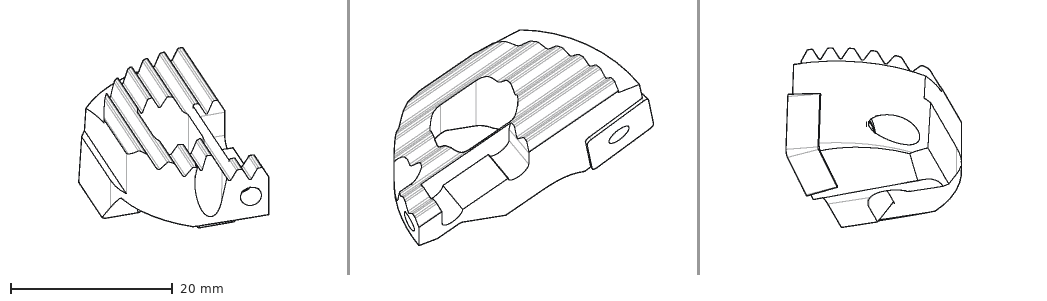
import cadquery as cq
import math


DISC_RADIUS = 15.45
RIM_DEPTH = 2.0
FLARE_RADIUS = 18.7
FLARE_DEPTH = 3.85
SIDE_ANGLE = 5.6
BLEND_DEPTH = 16.35
BLEND_RADIUS = 0.9
BLANK_DEPTH = 19.8

STEP_Y = -14.85
STEP_DEPTH = 7.35
LEDGE_DEPTH = 7.7

HEEL_DEPTH = 15.48
HEEL_LEFT = -3.9
HEEL_RIGHT = 2.0
TAIL_DEPTH = 8.55
TAIL_RIGHT = 12.6
TAIL_ANGLE = 30.0
TAIL_BLEND = 1.08
THROAT_RADIUS = 7.92
THROAT_ANGLE = 45.0
RELIEF_POINT = (-10.2, 0, -18.45)
RELIEF_ANGLE_X = 5.7
RELIEF_ANGLE_Y = 5.9
BEVEL_DEPTH = 14.9

TOOTH_COUNT = 6
TOOTH_SPAN = 14.98
TOOTH_PITCH = TOOTH_SPAN / TOOTH_COUNT
TOOTH_HEIGHT = 1.55
TOOTH_FLANK_ANGLE = 28.0
TIP_ROUND = 0.25
ROOT_ROUND = 0.18
FIRST_VALLEY_Y = 0.1

SLOT_X = 0.97
SLOT_Y = -7.92
SLOT_RADIUS = 3.25
SLOT_LENGTH = 11.95

NOTCH_LEFT = -1.55
NOTCH_RIGHT = 11.85
NOTCH_LENGTH = 4.05
NOTCH_DEPTH = 5.05
NOTCH_GROOVE_RADIUS = 1.6
NOTCH_FLARE = 0.3
NOTCH_FLARE_DEPTH = 1.73

CHANNEL_RADIUS = 1.73
CHANNEL_POINT = (13.95, -7.38, -3.6)
CHANNEL_HEADING = -22.0
CHANNEL_PITCH = 64.0

CROSS_HOLE_RADIUS = 1.3
CROSS_HOLE_Y = -2.25
CROSS_HOLE_Z = -3.95

INSERT_SIDE = 9.55
INSERT_THICKNESS = 4.0
INSERT_PROUD = 0.45
INSERT_RELIEF = 7.0
INSERT_TILT = 5.5
INSERT_NOSE = 0.72
INSERT_X = -15.4
INSERT_Z = -13.55

SCREW_X = -15.2
SCREW_Z = -13.4
SCREW_RADIUS = 1.55
SCREW_TIP_Y = -9.0
SCREW_TIP_CHAMFER = 0.15
ACCESS_RADIUS = 2.1

CLEAR = 36.0


def box(x0, x1, y0, y1, z0, z1):
    return cq.Workplane("XY").box(x1 - x0, y1 - y0, z1 - z0, centered=False).translate((x0, y0, z0))


def disc_half():
    disc = cq.Workplane("XY").circle(DISC_RADIUS).extrude(-BLANK_DEPTH)
    return disc.intersect(box(0, CLEAR, -CLEAR, 0, -CLEAR, CLEAR))


def flared_half():
    lean = math.radians(SIDE_ANGLE)
    blend_start = FLARE_RADIUS + (BLEND_DEPTH - FLARE_DEPTH) * math.tan(lean)
    arc_x = blend_start - BLEND_RADIUS * math.cos(lean)
    arc_z = -BLEND_DEPTH - BLEND_RADIUS * math.sin(lean)
    diagonal = BLEND_RADIUS * math.sqrt(0.5)
    flare = (
        cq.Workplane("XZ")
        .moveTo(0, 0)
        .lineTo(DISC_RADIUS, 0)
        .lineTo(DISC_RADIUS, -RIM_DEPTH)
        .lineTo(FLARE_RADIUS, -FLARE_DEPTH)
        .lineTo(blend_start, -BLEND_DEPTH)
        .threePointArc((arc_x + diagonal, arc_z - diagonal), (arc_x, arc_z - BLEND_RADIUS))
        .lineTo(arc_x, -BLANK_DEPTH)
        .lineTo(0, -BLANK_DEPTH)
        .close()
        .revolve(360, (0, 0, 0), (0, 1, 0))
    )
    return flare.intersect(box(-CLEAR, 0, -DISC_RADIUS, 0, -CLEAR, CLEAR))


def front_step():
    return (
        cq.Workplane("YZ", origin=(-CLEAR, 0, 0))
        .polyline([
            (STEP_Y, CLEAR),
            (STEP_Y, -STEP_DEPTH),
            (-DISC_RADIUS, -LEDGE_DEPTH),
            (-CLEAR, -LEDGE_DEPTH),
            (-CLEAR, CLEAR),
        ])
        .close()
        .extrude(2 * CLEAR)
    )


def underside():
    """Everything below the side profile of the housing, cut through along Y."""
    turn = math.radians(THROAT_ANGLE)
    throat_end = (
        HEEL_LEFT - THROAT_RADIUS * math.sin(turn),
        -HEEL_DEPTH - THROAT_RADIUS * (1 - math.cos(turn)),
    )
    throat_middle = (
        HEEL_LEFT - THROAT_RADIUS * math.sin(turn / 2),
        -HEEL_DEPTH - THROAT_RADIUS * (1 - math.cos(turn / 2)),
    )
    drop = CLEAR + throat_end[1]
    tail_rise = (CLEAR - TAIL_RIGHT) * math.tan(math.radians(TAIL_ANGLE))
    tail_left = HEEL_RIGHT + HEEL_DEPTH - TAIL_DEPTH
    cutter = (
        cq.Workplane("XZ", origin=(0, CLEAR, 0))
        .moveTo(throat_end[0] - drop / math.tan(turn), -CLEAR)
        .lineTo(*throat_end)
        .threePointArc(throat_middle, (HEEL_LEFT, -HEEL_DEPTH))
        .lineTo(HEEL_RIGHT, -HEEL_DEPTH)
        .lineTo(tail_left, -TAIL_DEPTH)
        .lineTo(TAIL_RIGHT, -TAIL_DEPTH)
        .lineTo(CLEAR, -TAIL_DEPTH + tail_rise)
        .lineTo(CLEAR, -CLEAR)
        .close()
        .extrude(2 * CLEAR)
    )
    corner = cq.selectors.NearestToPointSelector((tail_left, 0, -TAIL_DEPTH))
    return cutter.edges("|Y").edges(corner).fillet(TAIL_BLEND)


def head_room():
    """Sloped clearance under the slot, open to the front, with the slot wall as its back."""
    slope_top = HEEL_LEFT + HEEL_DEPTH - TAIL_DEPTH
    drop = CLEAR - HEEL_DEPTH
    wedge = (
        cq.Workplane("XZ", origin=(0, CLEAR, 0))
        .polyline([
            (HEEL_LEFT - drop, -CLEAR),
            (slope_top, -TAIL_DEPTH),
            (CLEAR, -TAIL_DEPTH),
            (CLEAR, -CLEAR),
        ])
        .close()
        .extrude(2 * CLEAR)
    )
    corner = cq.selectors.NearestToPointSelector((slope_top, 0, -TAIL_DEPTH))
    wedge = wedge.edges("|Y").edges(corner).fillet(TAIL_BLEND)
    arc_x = SLOT_X - SLOT_LENGTH / 2 + SLOT_RADIUS
    back_y = SLOT_Y + SLOT_RADIUS
    diagonal = SLOT_RADIUS * math.sqrt(0.5)
    plan = (
        cq.Workplane("XY", origin=(0, 0, -CLEAR))
        .moveTo(CLEAR, back_y)
        .lineTo(arc_x, back_y)
        .threePointArc((arc_x - diagonal, SLOT_Y + diagonal), (arc_x - SLOT_RADIUS, SLOT_Y))
        .lineTo(arc_x - SLOT_RADIUS, -CLEAR)
        .lineTo(CLEAR, -CLEAR)
        .close()
        .extrude(CLEAR)
    )
    return wedge.intersect(plan)


def relief_face():
    """Everything below the tilted plane under the insert seat."""
    fall_x = math.tan(math.radians(RELIEF_ANGLE_X))
    fall_y = math.tan(math.radians(RELIEF_ANGLE_Y))
    plane = cq.Plane(RELIEF_POINT, xDir=(1, 0, -fall_x), normal=(-fall_x, -fall_y, -1))
    return cq.Workplane(plane).rect(2 * CLEAR, 2 * CLEAR).extrude(CLEAR)


def front_bevel():
    return (
        cq.Workplane("YZ", origin=(-CLEAR, 0, 0))
        .polyline([
            (-DISC_RADIUS - CLEAR, -BEVEL_DEPTH + CLEAR),
            (-DISC_RADIUS + CLEAR, -BEVEL_DEPTH - CLEAR),
            (-DISC_RADIUS - CLEAR, -BEVEL_DEPTH - CLEAR),
        ])
        .close()
        .extrude(2 * CLEAR)
    )


def tooth_valley(y):
    """Groove along X with a rounded root, flaring into the rounded tips of the teeth."""
    flank = math.radians(TOOTH_FLANK_ANGLE)
    rise = math.sin(flank)
    run = math.cos(flank)
    root_z = -TOOTH_HEIGHT + ROOT_ROUND * (1 - rise)
    root_y = ROOT_ROUND * run
    tip_z = -TIP_ROUND * (1 - rise)
    tip_y = root_y + (tip_z - root_z) * math.tan(flank)
    tip_centre_y = tip_y + TIP_ROUND * run
    half_turn = (math.pi / 2 - flank) / 2
    tip_middle_y = tip_centre_y - TIP_ROUND * math.sin(half_turn)
    tip_middle_z = -TIP_ROUND * (1 - math.cos(half_turn))
    return (
        cq.Workplane("YZ", origin=(-CLEAR, y, 0))
        .moveTo(-tip_centre_y, 0)
        .threePointArc((-tip_middle_y, tip_middle_z), (-tip_y, tip_z))
        .lineTo(-root_y, root_z)
        .threePointArc((0, -TOOTH_HEIGHT), (root_y, root_z))
        .lineTo(tip_y, tip_z)
        .threePointArc((tip_middle_y, tip_middle_z), (tip_centre_y, 0))
        .close()
        .extrude(2 * CLEAR)
    )


def mounting_slot():
    return (
        cq.Workplane("XY", origin=(SLOT_X, SLOT_Y, -CLEAR))
        .slot2D(SLOT_LENGTH, 2 * SLOT_RADIUS)
        .extrude(2 * CLEAR)
    )


def key_notch():
    notch = (
        cq.Workplane("XZ")
        .polyline([
            (NOTCH_LEFT - NOTCH_FLARE, 0),
            (NOTCH_LEFT, -NOTCH_FLARE_DEPTH),
            (NOTCH_LEFT, -NOTCH_DEPTH),
            (NOTCH_RIGHT, -NOTCH_DEPTH),
            (NOTCH_RIGHT, -NOTCH_FLARE_DEPTH),
            (NOTCH_RIGHT + NOTCH_FLARE, 0),
        ])
        .close()
        .extrude(NOTCH_LENGTH)
    )
    grooves = (
        cq.Workplane("XZ")
        .pushPoints([
            (NOTCH_LEFT + NOTCH_GROOVE_RADIUS, -NOTCH_DEPTH),
            (NOTCH_RIGHT - NOTCH_GROOVE_RADIUS, -NOTCH_DEPTH),
        ])
        .circle(NOTCH_GROOVE_RADIUS)
        .extrude(NOTCH_LENGTH)
    )
    return notch.union(grooves)


def rim_channel():
    """Slanted U-shaped channel, round on its inner side and open towards +X."""
    heading = math.radians(CHANNEL_HEADING)
    pitch = math.radians(CHANNEL_PITCH)
    axis = cq.Vector(
        math.cos(pitch) * math.cos(heading),
        math.cos(pitch) * math.sin(heading),
        -math.sin(pitch),
    )
    opening = cq.Vector(1, 0, 0) - axis * axis.x
    plane = cq.Plane(CHANNEL_POINT, xDir=opening, normal=axis)
    round_side = cq.Workplane(plane).circle(CHANNEL_RADIUS).extrude(CLEAR, both=True)
    open_side = (
        cq.Workplane(plane)
        .center(CLEAR / 2, 0)
        .rect(CLEAR, 2 * CHANNEL_RADIUS)
        .extrude(CLEAR, both=True)
    )
    return round_side.union(open_side)


def cross_hole():
    return (
        cq.Workplane("YZ", origin=(NOTCH_RIGHT, CROSS_HOLE_Y, CROSS_HOLE_Z))
        .circle(CROSS_HOLE_RADIUS)
        .extrude(CLEAR)
    )


def screw_rod(radius, tip_y, end_y):
    return cq.Workplane("XZ", origin=(SCREW_X, end_y, SCREW_Z)).circle(radius).extrude(end_y - tip_y)


def make_screw():
    rod = screw_rod(SCREW_RADIUS, SCREW_TIP_Y, INSERT_PROUD)
    return rod.faces("<Y").chamfer(SCREW_TIP_CHAMFER)


def insert_blank():
    square = cq.Sketch().rect(INSERT_SIDE, INSERT_SIDE).vertices().fillet(INSERT_NOSE)
    return (
        cq.Workplane("XZ", origin=(INSERT_X, INSERT_PROUD, INSERT_Z))
        .transformed(rotate=(0, 0, -INSERT_TILT))
        .placeSketch(square)
        .extrude(INSERT_THICKNESS, taper=INSERT_RELIEF)
    )


def make_insert():
    return insert_blank().cut(screw_rod(SCREW_RADIUS, -CLEAR, CLEAR))


def make_housing():
    body = disc_half().union(flared_half())
    body = body.cut(front_step()).cut(underside()).cut(mounting_slot()).cut(head_room())
    body = body.cut(relief_face()).cut(front_bevel()).cut(key_notch())
    for index in range(TOOTH_COUNT + 1):
        body = body.cut(tooth_valley(FIRST_VALLEY_Y - index * TOOTH_PITCH))
    body = body.cut(rim_channel()).cut(cross_hole()).cut(insert_blank())
    body = body.cut(screw_rod(SCREW_RADIUS, SCREW_TIP_Y, INSERT_PROUD))
    return body.cut(screw_rod(ACCESS_RADIUS, -CLEAR, SCREW_TIP_Y))


housing = make_housing()
insert = make_insert()
screw = make_screw()

result = cq.Compound.makeCompound([housing.val(), insert.val(), screw.val()])